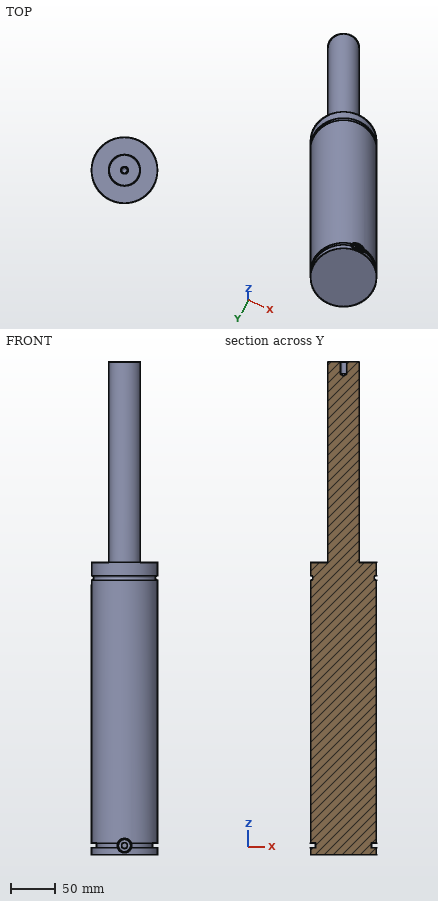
import cadquery as cq

total_height = 560.0
body_diameter = 75.0
rod_diameter = 36.0
body_height = 332.0
body_radius = body_diameter / 2
rod_radius = rod_diameter / 2
rod_end_chamfer = 0.5

base_groove_bottom = 8.5
base_groove_top = 13.5
base_groove_radius = 32.0

cap_groove_top = 317.0
cap_groove_bottom = 312.0
cap_groove_depth = (cap_groove_top - cap_groove_bottom) / 2
cap_groove_middle = (cap_groove_top + cap_groove_bottom) / 2

port_height = 10.5
port_diameter = 16.0
port_recess_diameter = 14.0
port_bore_diameter = 7.0
port_face_distance = 36.0
port_recess_depth = 1.5
port_bore_depth = 5.5
port_root_distance = 22.5

rod_hole_diameter = 7.0
rod_hole_depth = 14.0
rod_hole_chamfer = 0.85
rod_hole_tip_depth = 2.0


def make_cylinder_body():
    """Body and rod revolved about Z, including both grooves."""
    outline = (
        cq.Workplane("XZ")
        .lineTo(body_radius, 0)
        .lineTo(body_radius, base_groove_bottom)
        .lineTo(base_groove_radius, base_groove_bottom)
        .lineTo(base_groove_radius, base_groove_top)
        .lineTo(body_radius, base_groove_top)
        .lineTo(body_radius, cap_groove_bottom)
        .threePointArc(
            (body_radius - cap_groove_depth, cap_groove_middle),
            (body_radius, cap_groove_top),
        )
        .lineTo(body_radius, body_height)
        .lineTo(rod_radius, body_height)
        .lineTo(rod_radius, total_height - rod_end_chamfer)
        .lineTo(rod_radius - rod_end_chamfer, total_height)
        .lineTo(0, total_height)
        .close()
    )
    return outline.revolve(360, (0, 0), (0, 1))


def port_cylinder(diameter, start, end):
    """Cylinder on the port axis between two distances from the body axis."""
    plane = cq.Workplane("XZ", origin=(0, -start, port_height))
    return plane.circle(diameter / 2).extrude(end - start)


def add_port(body):
    """Fill the groove with a round plug, face it flat and bore it in steps."""
    recess_floor = port_face_distance - port_recess_depth
    body = body.union(port_cylinder(port_diameter, port_root_distance, port_face_distance))
    body = body.cut(port_cylinder(port_diameter, port_face_distance, body_radius))
    body = body.cut(port_cylinder(port_recess_diameter, recess_floor, body_radius))
    return body.cut(port_cylinder(port_bore_diameter, recess_floor - port_bore_depth, body_radius))


def cut_rod_hole(body):
    """Blind hole in the rod end with a chamfered mouth and a conical tip."""
    hole_radius = rod_hole_diameter / 2
    mouth_radius = hole_radius + rod_hole_chamfer
    profile = [
        (0, total_height),
        (mouth_radius, total_height),
        (hole_radius, total_height - rod_hole_chamfer),
        (hole_radius, total_height - rod_hole_depth),
        (0, total_height - rod_hole_depth - rod_hole_tip_depth),
    ]
    hole = cq.Workplane("XZ").polyline(profile).close().revolve(360, (0, 0), (0, 1))
    return body.cut(hole)


result = cut_rod_hole(add_port(make_cylinder_body()))